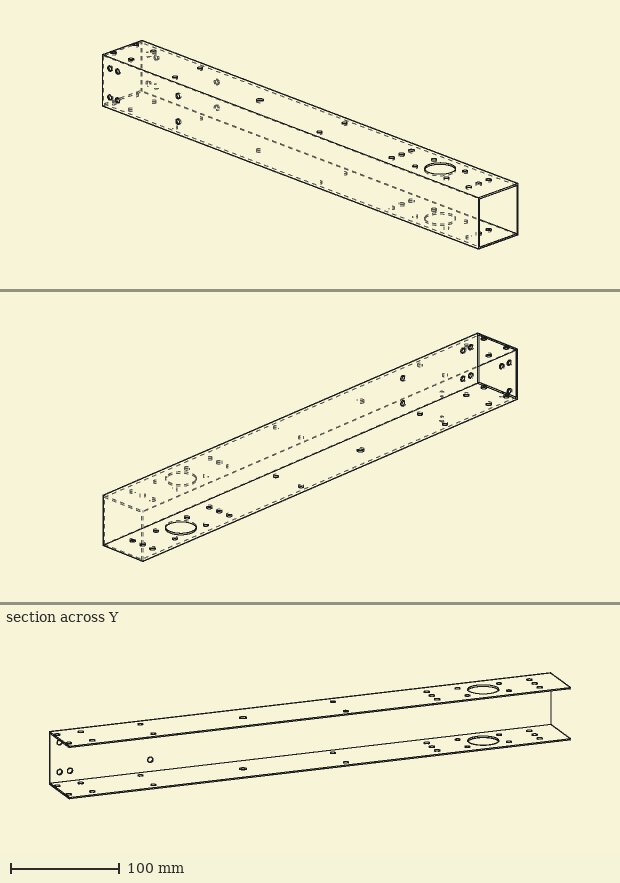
import cadquery as cq

length = 495.76
width = 50.8
wall = 1.5875

side_hole_diameter = 5.1
end_bolt_x = (9.525, 19.8)
end_bolt_pitch = 28.575
side_pair_x = 99.3
side_pair_pitch = 25.4

top_hole_diameter = 5.1
end_hole_x = (3.175, 26.4)
center_hole_x = 181.4
center_hole_diameter = 6.5
corner_hole_diameter = 4.6
corner_hole_spacing = 190.5
corner_hole_pitch = 32.0

opening_x = 419.1
opening_diameter = 28.575
near_hole_diameter = 4.6
near_hole_spacing = 41.0
near_hole_pitch = 24.0
row_hole_diameter = 5.1
row_spacing = 101.6
row_pitch = 12.7


def spread(center, spacing):
    """Two positions placed evenly about a center."""
    return (center - spacing / 2, center + spacing / 2)


def grid(x_positions, cross_positions):
    """Every pairing of the given positions along and across the tube."""
    return [(x, cross) for x in x_positions for cross in cross_positions]


def make_tube():
    bore = width - 2 * wall
    section = cq.Workplane("YZ").rect(width, width).rect(bore, bore)
    return section.extrude(length)


def drill(body, plane, points, diameter):
    """Drill through both opposite walls, square to the given plane."""
    cutter = cq.Workplane(plane).pushPoints(points).circle(diameter / 2).extrude(width, both=True)
    return body.cut(cutter)


def drill_sides(body):
    end_bolts = grid(end_bolt_x, spread(0, end_bolt_pitch))
    side_pair = grid((side_pair_x,), spread(0, side_pair_pitch))
    return drill(body, "XZ", end_bolts + side_pair, side_hole_diameter)


def drill_left_top(body):
    end_holes = grid(end_hole_x, spread(0, end_bolt_pitch))
    corner_holes = grid(spread(center_hole_x, corner_hole_spacing), spread(0, corner_hole_pitch))
    body = drill(body, "XY", end_holes, top_hole_diameter)
    body = drill(body, "XY", corner_holes, corner_hole_diameter)
    return drill(body, "XY", [(center_hole_x, 0)], center_hole_diameter)


def drill_opening_group(body):
    near_holes = grid(spread(opening_x, near_hole_spacing), spread(0, near_hole_pitch))
    row_holes = grid(spread(opening_x, row_spacing), (-row_pitch, 0, row_pitch))
    body = drill(body, "XY", [(opening_x, 0)], opening_diameter)
    body = drill(body, "XY", near_holes, near_hole_diameter)
    return drill(body, "XY", row_holes, row_hole_diameter)


result = drill_opening_group(drill_left_top(drill_sides(make_tube())))